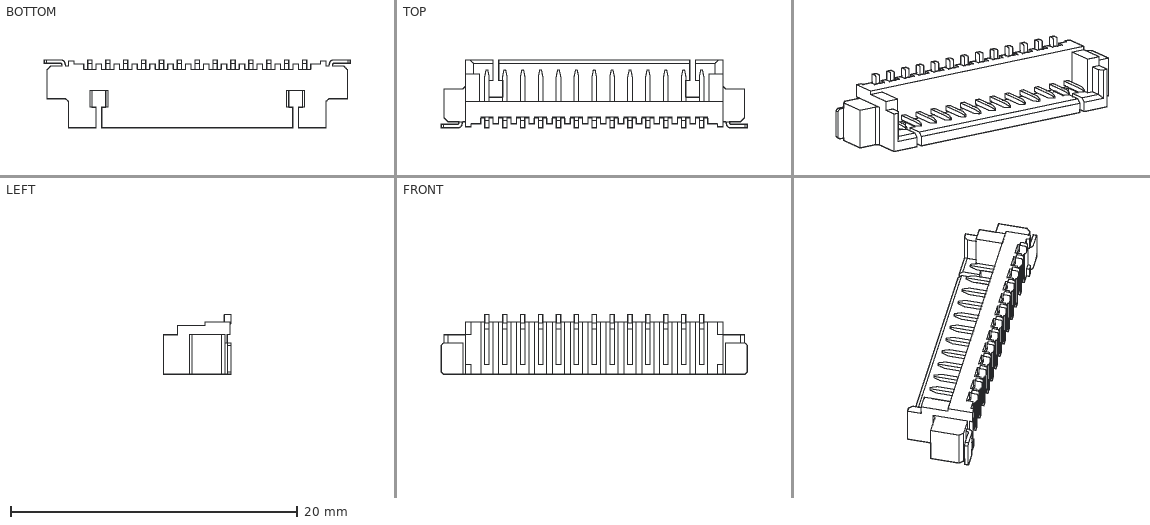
import cadquery as cq
import math


PIN_COUNT = 13
PITCH = 1.25
PIN_WIDTH = 0.32
PIN_TOP = 4.2
FOOT_DEPTH = 0.5
FOOT_FILLET = 0.1
FOOT_BOTTOM = 3.6
STEM_FRONT = 0.27
STEM_BOTTOM = 0.7
STEM_SHOULDER = 3.17
PRONG_HEIGHT = 1.25
PRONG_SHOULDER_Y = 3.55
PRONG_TIP_Y = 4.05
PRONG_TIP_WIDTH = 0.12

HOUSING_LENGTH = 18.0
HOUSING_BACK = 4.75
RIB_FRONT = 0.28
GROOVE_FLOOR = 0.75
GROOVE_DRAFT = 0.08
GROOVE_WIDTH = 0.85
WALL_BACK = 1.84
WALL_HEIGHT = 3.67
SHOULDER_BACK = 3.76
SHOULDER_HEIGHT = 3.42
SHOULDER_WIDTH = 0.98
CHEEK_HEIGHT = 2.77
CHEEK_WIDTH = 0.57
FLOOR_HEIGHT = 0.95
LEAD_IN = 0.26
PAD_WIDTH = 0.4
PAD_FRONT = 0.07
LOWER_PAD_HEIGHT = 0.7

SLOT_CENTRE = (PIN_COUNT - 2) / 2 * PITCH
SLOT_NECK_WIDTH = 0.37
SLOT_HEAD_WIDTH = PITCH
SLOT_HEAD_FRONT = 2.15
SLOT_HEAD_BACK = 3.3

EAR_END = 10.5
EAR_FRONT = 0.42
EAR_BACK = 2.73
EAR_CHAMFER = 0.27
EAR_GUSSET = 0.18
CLIP_END = 10.7
CLIP_HEIGHT = 2.2
CLIP_THICKNESS = 0.25
CLIP_CORNER = 0.17
CLIP_INNER_RADIUS = 0.03
CLIP_BEND_X = 9.515
CLIP_BEND_ANGLE = math.radians(75)
CLIP_LEG_LENGTH = 0.45

HALF_LENGTH = HOUSING_LENGTH / 2
PIN_POSITIONS = [(i - (PIN_COUNT - 1) / 2) * PITCH for i in range(PIN_COUNT)]


def block(x0, x1, y0, y1, z0, z1):
    """Box between two opposite corners."""
    return cq.Workplane("XY").box(x1 - x0, y1 - y0, z1 - z0, centered=False).translate((x0, y0, z0))


def prism_along_x(points_yz, x_centre, width):
    """Closed YZ outline extruded symmetrically about x_centre."""
    outline = cq.Workplane("YZ").polyline(points_yz).close()
    return outline.extrude(width / 2, both=True).translate((x_centre, 0, 0))


def both_ends(right_half):
    """The given feature together with its mirror image about X = 0."""
    return right_half.union(right_half.mirror("YZ"))


def make_base():
    """Stepped housing with the open mating cavity."""
    side_profile = [
        (RIB_FRONT, 0),
        (HOUSING_BACK, 0),
        (HOUSING_BACK, CHEEK_HEIGHT),
        (SHOULDER_BACK, CHEEK_HEIGHT),
        (SHOULDER_BACK, SHOULDER_HEIGHT),
        (WALL_BACK, SHOULDER_HEIGHT),
        (WALL_BACK, WALL_HEIGHT),
        (RIB_FRONT, WALL_HEIGHT),
    ]
    base = prism_along_x(side_profile, 0, HOUSING_LENGTH)

    front_half = HALF_LENGTH - SHOULDER_WIDTH
    back_half = HALF_LENGTH - CHEEK_WIDTH
    base = base.cut(block(-front_half, front_half, WALL_BACK, SHOULDER_BACK, FLOOR_HEIGHT, WALL_HEIGHT))
    base = base.cut(block(-back_half, back_half, SHOULDER_BACK, HOUSING_BACK, FLOOR_HEIGHT, WALL_HEIGHT))

    flare_bottom = FLOOR_HEIGHT - LEAD_IN
    flare_top = CHEEK_HEIGHT + LEAD_IN
    mouth_flare = (
        cq.Workplane("XZ", origin=(0, HOUSING_BACK, (flare_bottom + flare_top) / 2))
        .rect(2 * (back_half + LEAD_IN), flare_top - flare_bottom)
        .extrude(LEAD_IN, taper=45)
    )
    return base.cut(mouth_flare)


def make_groove(x):
    """Front groove for one contact, its floor leaning slightly forward at the bottom."""
    profile = [
        (0, 0),
        (GROOVE_FLOOR - GROOVE_DRAFT, 0),
        (GROOVE_FLOOR, WALL_HEIGHT),
        (0, WALL_HEIGHT),
    ]
    return prism_along_x(profile, x, GROOVE_WIDTH)


def make_slot():
    """T-shaped latch slot at the +X end."""
    neck_left = SLOT_CENTRE - SLOT_NECK_WIDTH / 2
    neck = block(neck_left, neck_left + SLOT_NECK_WIDTH, SLOT_HEAD_BACK, HOUSING_BACK, 0, FLOOR_HEIGHT)
    head_left = SLOT_CENTRE - SLOT_HEAD_WIDTH / 2
    head = block(head_left, head_left + SLOT_HEAD_WIDTH, SLOT_HEAD_FRONT, SLOT_HEAD_BACK, 0, FLOOR_HEIGHT)
    return neck.union(head)


def make_pads():
    """Upper and lower raised pads at the +X front corner."""
    inner = HALF_LENGTH - PAD_WIDTH
    upper = block(inner, HALF_LENGTH, PAD_FRONT, RIB_FRONT, CHEEK_HEIGHT, WALL_HEIGHT)
    lower = block(inner, HALF_LENGTH, PAD_FRONT, RIB_FRONT, 0, LOWER_PAD_HEIGHT)
    return upper.union(lower)


def make_ear():
    """Side ear at the +X end, with a small gusset where it meets the housing."""
    outline = [
        (HALF_LENGTH, EAR_FRONT),
        (EAR_END - EAR_CHAMFER, EAR_FRONT),
        (EAR_END, EAR_FRONT + EAR_CHAMFER),
        (EAR_END, EAR_BACK),
        (HALF_LENGTH + EAR_GUSSET, EAR_BACK),
        (HALF_LENGTH, EAR_BACK + EAR_GUSSET),
    ]
    return cq.Workplane("XY").polyline(outline).close().extrude(CHEEK_HEIGHT)


def clip_bend_point(radius, angle):
    """Point on the clip bend, after turning by angle from the flat plate."""
    centre_y = CLIP_THICKNESS + CLIP_INNER_RADIUS
    return (CLIP_BEND_X - radius * math.sin(angle), centre_y - radius * math.cos(angle))


def clip_leg_end(radius):
    """Far end of the clip leg on the side that leaves the bend at the given radius."""
    x, y = clip_bend_point(radius, CLIP_BEND_ANGLE)
    return (
        x - CLIP_LEG_LENGTH * math.cos(CLIP_BEND_ANGLE),
        y + CLIP_LEG_LENGTH * math.sin(CLIP_BEND_ANGLE),
    )


def make_clip():
    """Bent solder clip at the +X end: a flat plate with a leg entering the ear."""
    inner = CLIP_INNER_RADIUS
    outer = CLIP_INNER_RADIUS + CLIP_THICKNESS
    half_angle = CLIP_BEND_ANGLE / 2
    plate = (
        cq.Workplane("XY")
        .moveTo(CLIP_END, 0)
        .lineTo(CLIP_BEND_X, 0)
        .threePointArc(clip_bend_point(outer, half_angle), clip_bend_point(outer, CLIP_BEND_ANGLE))
        .lineTo(*clip_leg_end(outer))
        .lineTo(*clip_leg_end(inner))
        .lineTo(*clip_bend_point(inner, CLIP_BEND_ANGLE))
        .threePointArc(clip_bend_point(inner, half_angle), (CLIP_BEND_X, CLIP_THICKNESS))
        .lineTo(CLIP_END, CLIP_THICKNESS)
        .close()
        .extrude(CLIP_HEIGHT)
    )
    return plate.edges("|Y and >X").chamfer(CLIP_CORNER)


def make_contact(x):
    """Contact with a soldered foot on top, a stem in the groove and a mating prong."""
    profile = [
        (STEM_FRONT, STEM_BOTTOM),
        (STEM_FRONT, STEM_SHOULDER),
        (0, FOOT_BOTTOM),
        (0, PIN_TOP),
        (FOOT_DEPTH, PIN_TOP),
        (FOOT_DEPTH, FOOT_BOTTOM),
        (GROOVE_FLOOR, STEM_SHOULDER),
        (GROOVE_FLOOR, STEM_BOTTOM),
    ]
    lead = prism_along_x(profile, x, PIN_WIDTH).edges("|X and >Z").fillet(FOOT_FILLET)

    half = PIN_WIDTH / 2
    shank = block(x - half, x + half, GROOVE_FLOOR, PRONG_SHOULDER_Y, PRONG_HEIGHT - half, PRONG_HEIGHT + half)
    tip = (
        cq.Workplane("XZ", origin=(x, PRONG_SHOULDER_Y, PRONG_HEIGHT))
        .rect(PIN_WIDTH, PIN_WIDTH)
        .workplane(offset=PRONG_SHOULDER_Y - PRONG_TIP_Y)
        .rect(PRONG_TIP_WIDTH, PRONG_TIP_WIDTH)
        .loft()
    )
    return lead.union(shank).union(tip)


housing = make_base()
for pin_x in PIN_POSITIONS:
    housing = housing.cut(make_groove(pin_x))
housing = housing.cut(both_ends(make_slot()))

for end_feature in (make_pads(), make_ear(), make_clip()):
    housing = housing.union(both_ends(end_feature))

result = housing
for pin_x in PIN_POSITIONS:
    result = result.union(make_contact(pin_x))